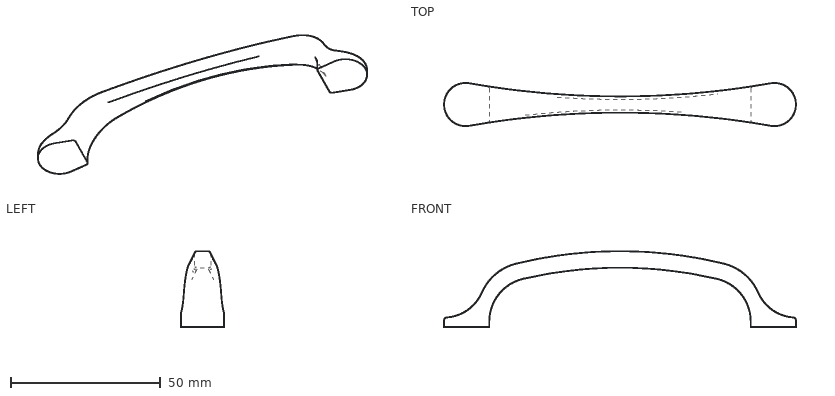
import cadquery as cq
import math

length = 117.56
foot_width = 14.5
height = 25.37

grip_width = 5.45
grip_thickness = 5.55

crown_radius = 146.0
crown_half_span = 34.6
shoulder_radius = 17.0
foot_sweep_radius = 13.8
foot_end_height = 3.2

inner_leg_x = 43.6
inner_corner_radius = 14.5

edge_radius = 1.0


def point_on_circle(center, radius, angle):
    """Point at an angle (radians, counterclockwise from +X) on a circle."""
    return (center[0] + radius * math.cos(angle), center[1] + radius * math.sin(angle))


def direction(start, end):
    """Angle of the ray from start to end."""
    return math.atan2(end[1] - start[1], end[0] - start[0])


def add_arc(sketch, center, radius, start_angle, end_angle):
    """Continue a sketch along an arc that begins at its current point."""
    middle = point_on_circle(center, radius, (start_angle + end_angle) / 2)
    end = point_on_circle(center, radius, end_angle)
    return sketch.threePointArc(middle, end)


def make_half_profile():
    """Right half of the side profile, extruded beyond both sides of the foot."""
    up_angle = math.pi / 2
    crown_center = (0, height - crown_radius)
    crown_end_angle = math.acos(crown_half_span / crown_radius)

    shoulder_center = point_on_circle(crown_center, crown_radius - shoulder_radius, crown_end_angle)

    sweep_center_z = foot_end_height + foot_sweep_radius
    sweep_rise = sweep_center_z - shoulder_center[1]
    sweep_reach = math.sqrt((shoulder_radius + foot_sweep_radius) ** 2 - sweep_rise**2)
    sweep_center = (shoulder_center[0] + sweep_reach, sweep_center_z)
    shoulder_end_angle = direction(shoulder_center, sweep_center)

    inner_radius = crown_radius - grip_thickness
    corner_x = inner_leg_x - inner_corner_radius
    corner_rise = math.sqrt((inner_radius - inner_corner_radius) ** 2 - corner_x**2)
    corner_center = (corner_x, crown_center[1] + corner_rise)
    inner_end_angle = direction(crown_center, corner_center)

    sketch = cq.Workplane("XZ").moveTo(0, height)
    sketch = add_arc(sketch, crown_center, crown_radius, up_angle, crown_end_angle)
    sketch = add_arc(sketch, shoulder_center, shoulder_radius, crown_end_angle, shoulder_end_angle)
    sketch = add_arc(sketch, sweep_center, foot_sweep_radius, shoulder_end_angle - math.pi, -up_angle)
    sketch = sketch.lineTo(sweep_center[0], 0)
    sketch = sketch.lineTo(inner_leg_x, 0)
    sketch = sketch.lineTo(inner_leg_x, corner_center[1])
    sketch = add_arc(sketch, corner_center, inner_corner_radius, 0, inner_end_angle)
    sketch = add_arc(sketch, crown_center, inner_radius, inner_end_angle, up_angle)
    return sketch.close().extrude(foot_width, both=True)


def make_plan():
    """Waisted plan outline with round ends, extruded to the full height."""
    end_radius = foot_width / 2
    end_x = length / 2 - end_radius
    waist = grip_width / 2

    side_radius = (end_x**2 + waist**2 - end_radius**2) / (2 * (end_radius - waist))
    side_center = (0, waist + side_radius)
    join_x, join_y = point_on_circle((end_x, 0), end_radius, direction((end_x, 0), side_center))

    return (
        cq.Workplane("XY")
        .moveTo(-join_x, join_y)
        .threePointArc((0, waist), (join_x, join_y))
        .threePointArc((length / 2, 0), (join_x, -join_y))
        .threePointArc((0, -waist), (-join_x, -join_y))
        .threePointArc((-length / 2, 0), (-join_x, join_y))
        .close()
        .extrude(height)
    )


half_profile = make_half_profile()
profile = half_profile.union(half_profile.mirror("YZ")).clean()
handle = profile.intersect(make_plan())

result = handle.edges("not (|Y or |Z or <Z)").fillet(edge_radius)